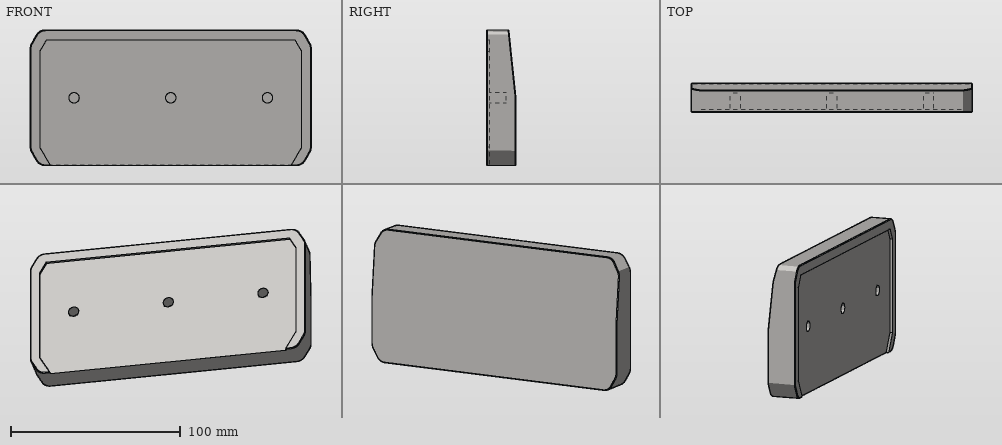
import cadquery as cq
import math

length = 165.6
thickness = 17.4
height = 80.0
edge_break = 0.5

clip_angle = math.radians(30)
clip_height = 9.3
corner_radius = 6.0

slope_height = height / 2
slope_angle = math.radians(6)

side_rim = 5.6
top_rim = 6.0
recess_depth = 1.7
recess_top_clip = 6.8
recess_bottom_clip = 11.0

hole_spacing = 57.0
hole_diameter = 6.1
hole_depth = 10.0

front = -thickness / 2
back = thickness / 2
top = height / 2
bottom = -height / 2


def clipped_plate(half_width, upper, lower, upper_clip, lower_clip, depth):
    """Plate with clipped corners, running from the front face towards +Y."""
    upper_half = half_width - upper_clip * math.tan(clip_angle)
    lower_half = half_width - lower_clip * math.tan(clip_angle)
    right_side = [
        (lower_half, lower),
        (half_width, lower + lower_clip),
        (half_width, upper - upper_clip),
        (upper_half, upper),
    ]
    left_side = [(-x, z) for x, z in reversed(right_side)]
    outline = cq.Workplane("XZ", origin=(0, front, 0)).polyline(right_side + left_side)
    return outline.close().extrude(-depth)


def back_slope_cutter():
    """Wedge that thins the plate towards its top edge."""
    slope_run = slope_height * math.tan(slope_angle)
    side_plane = cq.Workplane("YZ", origin=(-length / 2, 0, 0))
    wedge = side_plane.polyline(
        [(back, top - slope_height), (back, top), (back - slope_run, top)]
    )
    return wedge.close().extrude(length)


body = clipped_plate(length / 2, top, bottom, clip_height, clip_height, thickness)
body = body.edges("|Y").fillet(corner_radius)
body = body.cut(back_slope_cutter())
slope_normal = cq.Vector(0, math.cos(slope_angle), math.sin(slope_angle))
back_faces = body.faces(">Y").add(body.faces(cq.selectors.ParallelDirSelector(slope_normal)))
slope_start = cq.selectors.BoxSelector(
    (-length, back - edge_break, top - slope_height - edge_break),
    (length, back + edge_break, top - slope_height + edge_break),
)
body = back_faces.edges(cq.selectors.InverseSelector(slope_start)).chamfer(edge_break)
body = body.faces("<Y").edges().chamfer(edge_break)

recess = clipped_plate(
    length / 2 - side_rim, top - top_rim, bottom, recess_top_clip, recess_bottom_clip, recess_depth
)
body = body.cut(recess)

hole_centres = [(column * hole_spacing, 0) for column in (-1, 0, 1)]
holes = (
    cq.Workplane("XZ", origin=(0, front + recess_depth, 0))
    .pushPoints(hole_centres)
    .circle(hole_diameter / 2)
    .extrude(-hole_depth)
)
result = body.cut(holes)